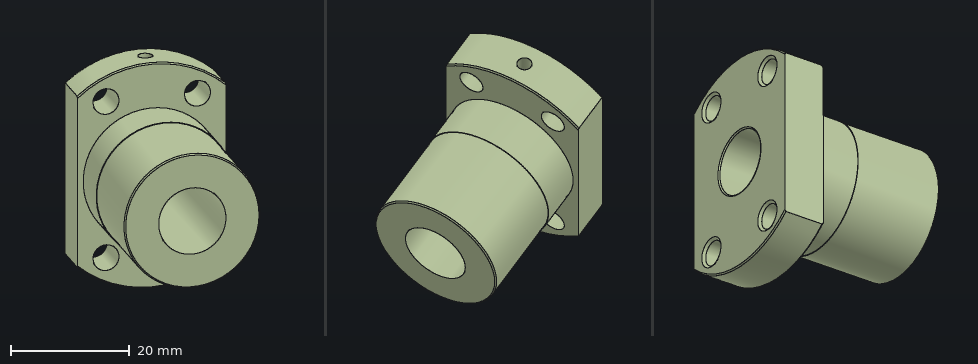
import cadquery as cq
import math

flange_diameter = 40.0
flange_thickness = 8.0
flange_width = 26.0
flange_chamfer = 0.25

total_length = 33.0
shoulder_end = 16.0
shoulder_diameter = 24.0
barrel_diameter = 23.8
barrel_chamfer = 0.25

bore_diameter = 11.75
bore_chamfer = 0.25

bolt_circle_diameter = 32.0
bolt_angle_from_z = 30.0
bolt_hole_diameter = 4.5
bolt_chamfer = 0.5

oil_hole_diameter = 2.5
oil_hole_depth = 8.0
drill_point_angle = 118.0


def cylinder_x(diameter, start, end):
    """Cylinder about the X axis between two X positions."""
    return cq.Workplane("YZ").workplane(offset=start).circle(diameter / 2).extrude(end - start)


def make_flange():
    disc = cylinder_x(flange_diameter, 0, flange_thickness).edges().chamfer(flange_chamfer)
    flats = cq.Workplane("XY").box(2 * flange_thickness, flange_width, flange_diameter)
    return disc.intersect(flats)


def make_barrel():
    shoulder = cylinder_x(shoulder_diameter, 0, shoulder_end)
    barrel = cylinder_x(barrel_diameter, 0, total_length).faces(">X").edges().chamfer(barrel_chamfer)
    return shoulder.union(barrel)


def chamfered_hole(diameter, chamfer, end):
    """Cutter along X from the flange face, flared at that face."""
    radius = diameter / 2
    wide_radius = radius + chamfer
    return (
        cq.Workplane("XY")
        .polyline([
            (0, 0),
            (0, wide_radius),
            (chamfer, radius),
            (end, radius),
            (end, 0),
        ])
        .close()
        .revolve(360, (0, 0, 0), (1, 0, 0))
    )


def make_oil_hole():
    """Drill entering the top of the flange at mid thickness."""
    radius = oil_hole_diameter / 2
    top = flange_diameter / 2
    bottom = top - oil_hole_depth
    tip = bottom - radius / math.tan(math.radians(drill_point_angle / 2))
    return (
        cq.Workplane("XZ")
        .polyline([(0, top), (radius, top), (radius, bottom), (0, tip)])
        .close()
        .revolve(360, (0, 0, 0), (0, 1, 0))
        .translate((flange_thickness / 2, 0, 0))
    )


result = make_flange().union(make_barrel())
result = result.cut(chamfered_hole(bore_diameter, bore_chamfer, total_length))

bolt_y = bolt_circle_diameter / 2 * math.sin(math.radians(bolt_angle_from_z))
bolt_z = bolt_circle_diameter / 2 * math.cos(math.radians(bolt_angle_from_z))
bolt_hole = chamfered_hole(bolt_hole_diameter, bolt_chamfer, flange_thickness)
for y_side in (-1, 1):
    for z_side in (-1, 1):
        result = result.cut(bolt_hole.translate((0, y_side * bolt_y, z_side * bolt_z)))

result = result.cut(make_oil_hole())